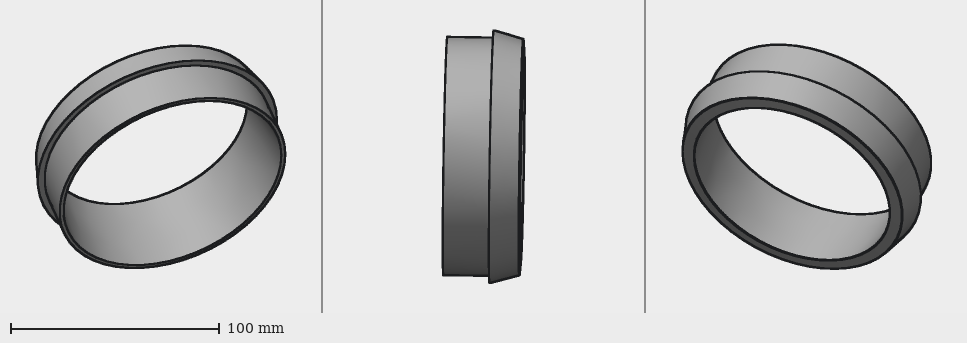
import cadquery as cq
import math

length = 37.0
face_lean = 0.5
flange_length = 14.9
crest_land = 0.4

outer_radius = 60.5
sleeve_radius = 57.0
rim_radius = 56.6
bore_front_radius = 50.2

bore_half_angle = 7.5

bevel = 0.2

front = -length / 2
back = length / 2
shoulder = front + flange_length
bore_start = front + bevel
rim_start = front + face_lean + bevel
bore_depth = back - bore_start
bore_back_radius = bore_front_radius + bore_depth * math.tan(math.radians(bore_half_angle))

section = (
    cq.Workplane("XY")
    .moveTo(bore_start, bore_front_radius)
    .lineTo(front, bore_front_radius + bevel)
    .lineTo(front + face_lean, rim_radius - bevel)
    .lineTo(rim_start, rim_radius)
    .lineTo(shoulder - crest_land, outer_radius)
    .lineTo(shoulder, outer_radius)
    .lineTo(shoulder, sleeve_radius)
    .lineTo(back, sleeve_radius)
    .lineTo(back, bore_back_radius)
    .close()
)

result = section.revolve(360, (0, 0, 0), (1, 0, 0))